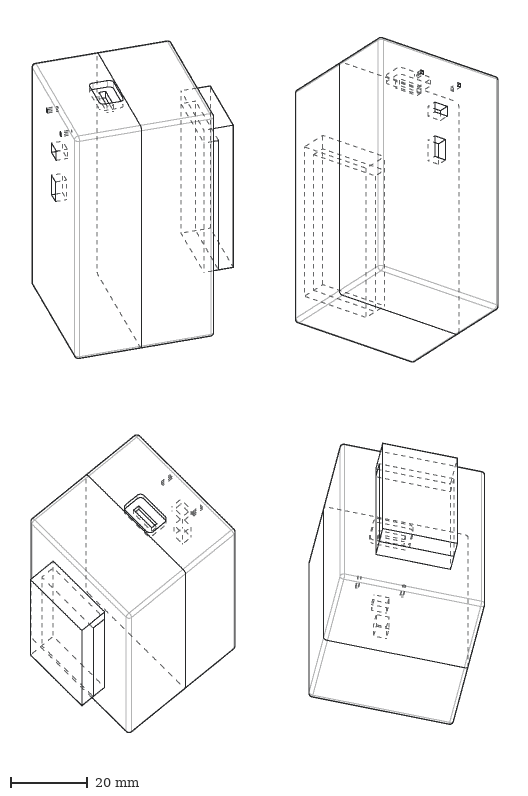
import cadquery as cq

HOUSING_WIDTH = 38.65
HOUSING_HEIGHT = 68.65
FRONT_DEPTH = 18.0
BACK_DEPTH = 20.0
HOUSING_DEPTH = FRONT_DEPTH + BACK_DEPTH
EDGE_RADIUS = 1.0

OPENING_X = 0.35
OPENING_Y = 14.35
RECESS_WIDTH = 10.65
RECESS_LENGTH = 6.5
RECESS_DEPTH = 2.0
RECESS_CORNER_RADIUS = 2.55 / 2
SLOT_WIDTH = 7.0
SLOT_LENGTH = 1.8
SLOT_DEPTH = 2.0

WINDOW_DEPTH = 3.0
WINDOW_LEFT = -1.65
BUTTON_WIDTH = 4.05
BUTTON_HEIGHT = 2.9
BUTTON_BOTTOM = 51.6
SWITCH_WIDTH = 3.4
SWITCH_HEIGHT = 6.05
SWITCH_BOTTOM = 38.5
LIGHT_HOLE_WIDTH = 0.75
LIGHT_HOLE_HEIGHT = 1.0
LIGHT_HOLE_SPACING = 11.95
LIGHT_HOLE_CENTRE_X = 0.3
LIGHT_HOLE_Z = 62.05

MOUNT_WIDTH = 20.0
MOUNT_BOTTOM = 14.3
HOOK_HEIGHT = 44.0
OVERALL_DEPTH = 46.0
HOOK_DEPTH = OVERALL_DEPTH - HOUSING_DEPTH
BLOCK_HEIGHT = 40.0
BLOCK_DEPTH = HOOK_DEPTH / 2


def box(width, depth, height, y_front, z_bottom, x_centre=0.0):
    """Box centred on x_centre, running back from y_front and up from z_bottom."""
    return (
        cq.Workplane("XY")
        .box(width, depth, height, centered=(True, False, False))
        .translate((x_centre, y_front, z_bottom))
    )


def rounded_half(depth, y_front, outer_face):
    """Housing half with every edge rounded except those on the parting plane."""
    half = box(HOUSING_WIDTH, depth, HOUSING_HEIGHT, y_front, 0.0)
    return half.edges(f"|Y or {outer_face}").fillet(EDGE_RADIUS)


def connector_opening():
    """Rounded recess in the top face with a narrow slot in its floor."""
    floor_z = HOUSING_HEIGHT - RECESS_DEPTH
    recess = box(
        RECESS_WIDTH, RECESS_LENGTH, RECESS_DEPTH, OPENING_Y - RECESS_LENGTH / 2, floor_z, OPENING_X
    )
    recess = recess.edges("|Z").fillet(RECESS_CORNER_RADIUS)
    slot = box(
        SLOT_WIDTH, SLOT_LENGTH, SLOT_DEPTH, OPENING_Y - SLOT_LENGTH / 2, floor_z - SLOT_DEPTH, OPENING_X
    )
    return recess.union(slot)


def front_window(width, height, z_bottom):
    """Rectangular window; the button and switch windows share the same left side."""
    return box(width, WINDOW_DEPTH, height, 0.0, z_bottom, WINDOW_LEFT + width / 2)


def light_holes():
    """Pair of small rectangular holes side by side near the top of the front face."""
    return (
        cq.Workplane("XZ")
        .center(LIGHT_HOLE_CENTRE_X, LIGHT_HOLE_Z)
        .rarray(LIGHT_HOLE_SPACING, 0.7, 2, 1)
        .rect(LIGHT_HOLE_WIDTH, LIGHT_HOLE_HEIGHT)
        .extrude(-WINDOW_DEPTH)
    )


def make_front_half():
    half = rounded_half(FRONT_DEPTH, 0.0, "<Y")
    half = half.cut(connector_opening())
    half = half.cut(front_window(BUTTON_WIDTH, BUTTON_HEIGHT, BUTTON_BOTTOM))
    half = half.cut(front_window(SWITCH_WIDTH, SWITCH_HEIGHT, SWITCH_BOTTOM))
    return half.cut(light_holes())


def make_back_half():
    return rounded_half(BACK_DEPTH, FRONT_DEPTH, ">Y")


def make_mount_block():
    return box(MOUNT_WIDTH, BLOCK_DEPTH, BLOCK_HEIGHT, HOUSING_DEPTH, MOUNT_BOTTOM)


def make_mount_hook(block):
    """L-shaped hook that covers the top and the rear of the block."""
    envelope = box(MOUNT_WIDTH, HOOK_DEPTH, HOOK_HEIGHT, HOUSING_DEPTH, MOUNT_BOTTOM)
    return envelope.cut(block)


front_half = make_front_half()
back_half = make_back_half()
mount_block = make_mount_block()
mount_hook = make_mount_hook(mount_block)

result = cq.Compound.makeCompound(
    [front_half.val(), back_half.val(), mount_block.val(), mount_hook.val()]
)